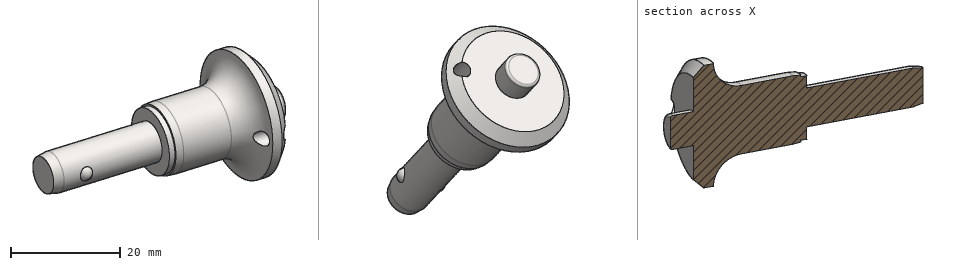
import cadquery as cq
import math


SHANK_RADIUS = 4.0
SHANK_LENGTH = 23.2
TIP_RADIUS = 3.6
TIP_LENGTH = 2.0

COLLAR_RADIUS = 6.5
COLLAR_LENGTH = 1.2
BODY_RADIUS = 7.0
BODY_TAPER_LENGTH = 1.6
BODY_TAPER_INSET = 0.15
BODY_END_Y = 13.1
FLANGE_RADIUS = 12.5
FLARE_RADIUS = FLANGE_RADIUS - BODY_RADIUS
FLANGE_RIM_WIDTH = 2.0
FLANGE_CHAMFER = 2.1

TOTAL_LENGTH = 50.5
BUTTON_RADIUS = 3.5
BUTTON_ROUND = 0.5

BALL_RADIUS = 1.5
BALL_REACH = 4.8
BALL_FROM_TIP = 6.85

LANYARD_HOLE_DIAMETER = 3.0
LANYARD_HOLE_OFFSET = 10.0

TIP_Y = -SHANK_LENGTH
TAPER_START_Y = COLLAR_LENGTH
TAPER_END_Y = TAPER_START_Y + BODY_TAPER_LENGTH
RIM_START_Y = BODY_END_Y + FLARE_RADIUS
RIM_END_Y = RIM_START_Y + FLANGE_RIM_WIDTH
FLANGE_TOP_Y = RIM_END_Y + FLANGE_CHAMFER
BUTTON_TOP_Y = TIP_Y + TOTAL_LENGTH


def make_turned_body():
    """Revolve the half profile of shank, handle and button about Y."""
    flare_mid = FLARE_RADIUS * math.sqrt(0.5)
    profile = (
        cq.Workplane("XY")
        .moveTo(0, TIP_Y)
        .lineTo(TIP_RADIUS, TIP_Y)
        .lineTo(SHANK_RADIUS, TIP_Y + TIP_LENGTH)
        .lineTo(SHANK_RADIUS, 0)
        .lineTo(COLLAR_RADIUS, 0)
        .lineTo(COLLAR_RADIUS, TAPER_START_Y)
        .lineTo(BODY_RADIUS - BODY_TAPER_INSET, TAPER_START_Y)
        .lineTo(BODY_RADIUS, TAPER_END_Y)
        .lineTo(BODY_RADIUS, BODY_END_Y)
        .threePointArc(
            (FLANGE_RADIUS - flare_mid, BODY_END_Y + flare_mid),
            (FLANGE_RADIUS, RIM_START_Y),
        )
        .lineTo(FLANGE_RADIUS, RIM_END_Y)
        .lineTo(FLANGE_RADIUS - FLANGE_CHAMFER, FLANGE_TOP_Y)
        .lineTo(BUTTON_RADIUS, FLANGE_TOP_Y)
        .lineTo(BUTTON_RADIUS, BUTTON_TOP_Y - BUTTON_ROUND)
        .radiusArc((BUTTON_RADIUS - BUTTON_ROUND, BUTTON_TOP_Y), -BUTTON_ROUND)
        .lineTo(0, BUTTON_TOP_Y)
        .close()
    )
    return profile.revolve(360, (0, 0, 0), (0, 1, 0))


def add_locking_balls(body):
    """Add the two balls that stand out of the shank near the tip."""
    for side in (-1, 1):
        centre = (side * (BALL_REACH - BALL_RADIUS), TIP_Y + BALL_FROM_TIP, 0)
        ball = cq.Workplane("XY").sphere(BALL_RADIUS).translate(centre)
        body = body.union(ball)
    return body


def cut_lanyard_hole(body):
    """Drill the lanyard hole along Y through the flange on the +X side."""
    drill = (
        cq.Workplane("XZ", origin=(LANYARD_HOLE_OFFSET, FLANGE_TOP_Y, 0))
        .circle(LANYARD_HOLE_DIAMETER / 2)
        .extrude(FLANGE_TOP_Y - BODY_END_Y)
    )
    return body.cut(drill)


result = cut_lanyard_hole(add_locking_balls(make_turned_body()))